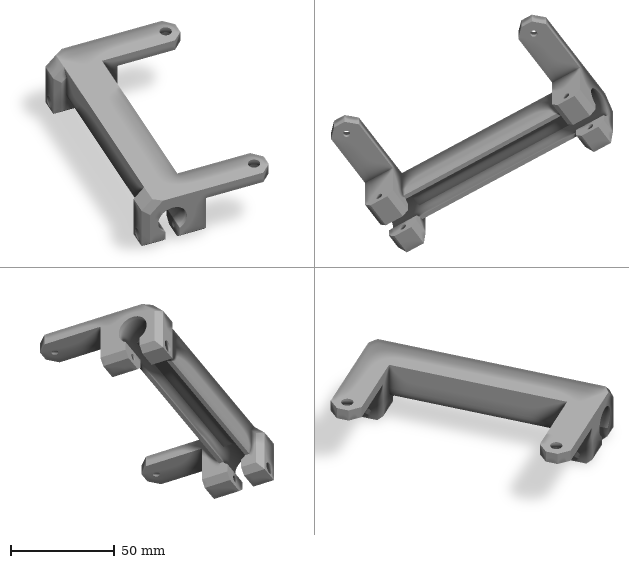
import cadquery as cq
import math

length = 124.0
depth = 68.0
height = 28.0
arm_width = 16.0
arm_thickness = 6.0
arm_corner = 5.0

clamp_depth = 32.6
front_slope = 5.6
edge_chamfer = 3.1

bore_radius = 7.6
bore_y = 15.0
bore_z = -13.8
slot_width = 7.6

bar_radius = bore_y - front_slope
bar_bottom = -18.4
channel_top = -9.0

screw_diameter = 3.5
head_diameter = 6.0
clamp_screw_z = -24.0
clamp_head_depth = 5.0
arm_screw_inset = 6.5
arm_head_depth = 3.0
arm_cone_depth = 1.2

arm_center_x = (length - arm_width) / 2


def side_profile(points, width):
    """Extrude a closed Y-Z outline symmetrically about x = 0."""
    return cq.Workplane("YZ").polyline(points).close().extrude(width / 2, both=True)


def rod_bore(width):
    """Cylinder along X on the bore axis, centred on x = 0."""
    return cq.Workplane("YZ").center(bore_y, bore_z).circle(bore_radius).extrude(width / 2, both=True)


def clamp_block():
    """Clamp with its front, sloping and bottom edges chamfered on both sides."""
    full = [
        (0, -height),
        (0, -front_slope),
        (front_slope, 0),
        (clamp_depth, 0),
        (clamp_depth, -height),
    ]
    slope_shift = edge_chamfer * math.sqrt(2)
    side_top_front = front_slope + slope_shift
    side = [
        (edge_chamfer, edge_chamfer - height),
        (edge_chamfer, edge_chamfer - side_top_front),
        (side_top_front, 0),
        (clamp_depth, 0),
        (clamp_depth, edge_chamfer - height),
    ]
    block = side_profile(full, arm_width - 2 * edge_chamfer)
    for direction in (-1, 1):
        inner_x = direction * (arm_width / 2 - edge_chamfer)
        outer_x = direction * arm_width / 2
        inner = cq.Wire.makePolygon([cq.Vector(inner_x, y, z) for y, z in full], close=True)
        outer = cq.Wire.makePolygon([cq.Vector(outer_x, y, z) for y, z in side], close=True)
        block = block.union(cq.Workplane(cq.Solid.makeLoft([inner, outer], True)))
    return block


def arm():
    """Flat arm with a chamfered free end."""
    arm_length = depth - clamp_depth / 2
    return (
        cq.Workplane("XY")
        .box(arm_width, arm_length, arm_thickness, centered=(True, False, False))
        .translate((0, depth - arm_length, -arm_thickness))
        .edges("|Z and >Y")
        .chamfer(arm_corner)
    )


def clamp_arm():
    """One clamp and arm, with the bore, slot and screw holes cut."""
    body = clamp_block().union(arm())
    slot = (
        cq.Workplane("XY")
        .box(arm_width, slot_width, height + bore_z, centered=(True, True, False))
        .translate((0, bore_y, -height))
    )
    clamp_screw = cq.Workplane("XZ").center(0, clamp_screw_z).circle(screw_diameter / 2).extrude(-clamp_depth)
    clamp_head = cq.Workplane("XZ").center(0, clamp_screw_z).circle(head_diameter / 2).extrude(-clamp_head_depth)
    screw_y = depth - arm_screw_inset
    arm_screw = cq.Workplane("XY").center(0, screw_y).circle(screw_diameter / 2).extrude(-arm_thickness)
    arm_head = cq.Workplane("XY").center(0, screw_y).circle(head_diameter / 2).extrude(-arm_head_depth)
    arm_cone = cq.Workplane(
        cq.Solid.makeCone(
            head_diameter / 2,
            screw_diameter / 2,
            arm_cone_depth,
            pnt=cq.Vector(0, screw_y, -arm_head_depth),
            dir=cq.Vector(0, 0, -1),
        )
    )
    for cutter in (rod_bore(arm_width), slot, clamp_screw, clamp_head, arm_screw, arm_head, arm_cone):
        body = body.cut(cutter)
    return body


def crossbar():
    """Bar between the clamps, with a flat-topped channel along its underside."""
    bar_length = length - 2 * arm_width
    lip_y = math.sqrt(bar_radius**2 - (bar_bottom - bore_z) ** 2)
    arc_angle = math.asin((bore_z - bar_bottom) / bar_radius) / 2
    mid_y = bar_radius * math.cos(arc_angle)
    mid_z = bore_z - bar_radius * math.sin(arc_angle)
    bar = (
        cq.Workplane("YZ")
        .moveTo(bore_y - bar_radius, 0)
        .lineTo(bore_y + bar_radius, 0)
        .lineTo(bore_y + bar_radius, bore_z)
        .threePointArc((bore_y + mid_y, mid_z), (bore_y + lip_y, bar_bottom))
        .lineTo(bore_y - lip_y, bar_bottom)
        .threePointArc((bore_y - mid_y, mid_z), (bore_y - bar_radius, bore_z))
        .close()
        .extrude(bar_length / 2, both=True)
    )
    below_top = (
        cq.Workplane("XY")
        .box(bar_length, 2 * bar_radius, height, centered=(True, True, False))
        .translate((0, bore_y, channel_top - height))
    )
    return bar.cut(rod_bore(bar_length).intersect(below_top))


def inner_corner(direction):
    """Bar section carried into the clamp chamfer, down to the bar top."""
    width = edge_chamfer
    points = [
        (front_slope, 0),
        (front_slope, -front_slope),
        (clamp_depth / 2, -front_slope),
        (clamp_depth / 2, 0),
    ]
    x = direction * (length / 2 - arm_width + width / 2)
    return side_profile(points, width).translate((x, 0, 0))


result = crossbar()
for direction in (-1, 1):
    result = result.union(clamp_arm().translate((direction * arm_center_x, 0, 0)))
    result = result.union(inner_corner(direction))